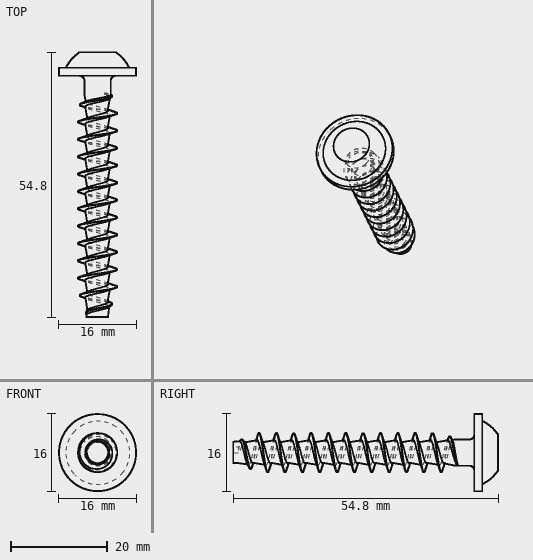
import cadquery as cq
import math

TOTAL_LENGTH = 54.8

FLANGE_RADIUS = 8.0
FLANGE_HEIGHT = 1.7
DOME_RADIUS = 6.6
DOME_TOP_RADIUS = 3.8
DOME_HEIGHT = 3.25
DOME_BULGE = 0.3
HEAD_HEIGHT = FLANGE_HEIGHT + DOME_HEIGHT

SHANK_LENGTH = TOTAL_LENGTH - HEAD_HEIGHT
NECK_RADIUS = 2.75
NECK_FILLET = 1.0
NECK_LENGTH = 3.95
CORE_RADIUS = 2.2
CORE_DEPTH = 6.6

PITCH = 3.59
THREAD_DEPTH = 3.25
THREAD_START_ANGLE = -90.0
CREST_RADIUS = 4.05
CREST_HALF_WIDTH = 0.05
HEAD_FLANK = 0.6
TIP_FLANK = 0.45
ROOT_RADIUS = 2.6
ROOT_END = 2.95
BURIED_RADIUS = 2.1
SLOPE_END_RADIUS = 2.15
START_CREST_RADIUS = 2.7
END_CREST_RADIUS = 2.4
END_ROOT_RADIUS = 2.35
RUN_IN_TURNS = 1.0
RUN_OUT_FROM = 11.5
THREAD_TURNS = 12.75
POINTS_PER_TURN = 16


def make_body():
    """Head, neck and plain core as one revolved outline."""
    chord_x = DOME_RADIUS - DOME_TOP_RADIUS
    chord = math.hypot(chord_x, DOME_HEIGHT)
    dome_middle = (
        (DOME_RADIUS + DOME_TOP_RADIUS) / 2 + DOME_BULGE * DOME_HEIGHT / chord,
        FLANGE_HEIGHT + DOME_HEIGHT / 2 + DOME_BULGE * chord_x / chord,
    )
    fillet_inset = NECK_FILLET * (1 - math.sqrt(0.5))
    return (
        cq.Workplane("XY")
        .moveTo(0, HEAD_HEIGHT)
        .lineTo(DOME_TOP_RADIUS, HEAD_HEIGHT)
        .threePointArc(dome_middle, (DOME_RADIUS, FLANGE_HEIGHT))
        .lineTo(FLANGE_RADIUS, FLANGE_HEIGHT)
        .lineTo(FLANGE_RADIUS, 0)
        .lineTo(NECK_RADIUS + NECK_FILLET, 0)
        .threePointArc((NECK_RADIUS + fillet_inset, -fillet_inset), (NECK_RADIUS, -NECK_FILLET))
        .lineTo(NECK_RADIUS, -NECK_LENGTH)
        .lineTo(CORE_RADIUS, -CORE_DEPTH)
        .lineTo(CORE_RADIUS, -SHANK_LENGTH)
        .lineTo(0, -SHANK_LENGTH)
        .close()
        .revolve(360, (0, 0), (0, 1))
    )


def thread_section(crest_radius, root_radius):
    """Corners of the thread section as (axial offset towards the tip, radius)."""
    return [
        (-HEAD_FLANK, BURIED_RADIUS),
        (-CREST_HALF_WIDTH, crest_radius),
        (CREST_HALF_WIDTH, crest_radius),
        (TIP_FLANK, root_radius),
        (ROOT_END, SLOPE_END_RADIUS),
        (ROOT_END, BURIED_RADIUS),
    ]


def helix_edge(first, last, turn_from, turn_to):
    """Helical edge whose offset and radius change evenly from first to last."""
    steps = round((turn_to - turn_from) * POINTS_PER_TURN)
    points = []
    for step in range(steps + 1):
        share = step / steps
        turn = turn_from + share * (turn_to - turn_from)
        angle = math.radians(THREAD_START_ANGLE) + 2 * math.pi * turn
        offset = first[0] + share * (last[0] - first[0])
        radius = first[1] + share * (last[1] - first[1])
        y = -(THREAD_DEPTH + PITCH * turn + offset)
        points.append(cq.Vector(radius * math.cos(angle), y, radius * math.sin(angle)))
    return cq.Edge.makeSpline(points)


def thread_segment(first_section, last_section, turn_from, turn_to):
    """Solid between two thread sections, bounded by ruled helical faces."""
    edges = [
        helix_edge(first, last, turn_from, turn_to)
        for first, last in zip(first_section, last_section)
    ]
    faces = [
        cq.Face.makeRuledSurface(edge, following)
        for edge, following in zip(edges, edges[1:] + edges[:1])
    ]
    for corners in ([e.startPoint() for e in edges], [e.endPoint() for e in edges]):
        faces.append(cq.Face.makeFromWires(cq.Wire.makePolygon(corners, close=True)))
    return cq.Solid.makeSolid(cq.Shell.makeShell(faces)).fix()


def make_thread():
    """Thread pieces with a crest that rises at the neck and fades out at the tip."""
    start = thread_section(START_CREST_RADIUS, ROOT_RADIUS)
    full = thread_section(CREST_RADIUS, ROOT_RADIUS)
    end = thread_section(END_CREST_RADIUS, END_ROOT_RADIUS)
    return [
        thread_segment(start, full, 0, RUN_IN_TURNS),
        thread_segment(full, full, RUN_IN_TURNS, RUN_OUT_FROM),
        thread_segment(full, end, RUN_OUT_FROM, THREAD_TURNS),
    ]


result = make_body()
for segment in make_thread():
    result = result.union(cq.Workplane(obj=segment))

beyond_tip = cq.Workplane("XZ", origin=(0, -SHANK_LENGTH, 0)).circle(FLANGE_RADIUS).extrude(2 * PITCH)
result = result.cut(beyond_tip)